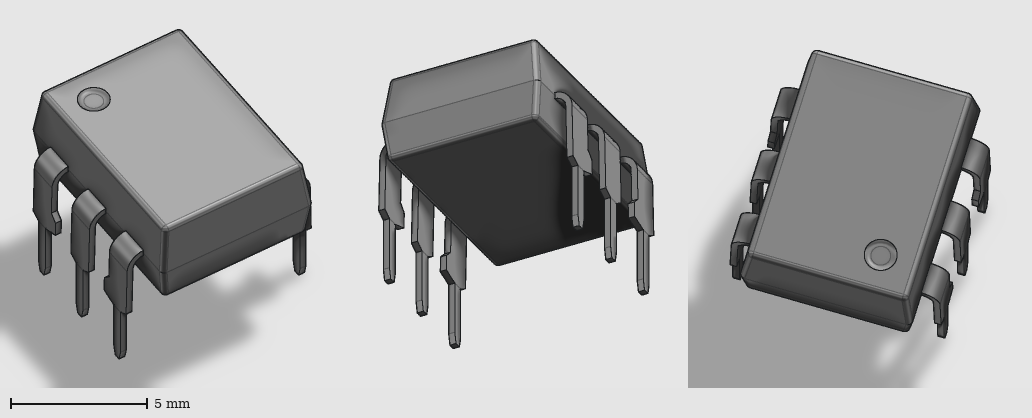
import cadquery as cq
import math

BODY_LENGTH = 8.89
BODY_WIDTH = 6.605
UPPER_HEIGHT = 2.02
LOWER_HEIGHT = 1.53
DRAFT_ANGLE = 7.0
EDGE_RADIUS = 0.205

DIMPLE_X = -2.79
DIMPLE_Y = -1.63
DIMPLE_RADIUS = 0.605
DIMPLE_FLOOR_RADIUS = 0.365
DIMPLE_DEPTH = 0.1

LEAD_PITCH = 2.54
PLATE_WIDTH = 1.2
PIN_WIDTH = 0.46
TIP_WIDTH = 0.27
TIP_LENGTH = 0.44
WING_WIDTH = 0.29
LEAD_DROP = 5.6
PIN_LENGTH = 2.56
SHOULDER_HEIGHT = 0.21
WING_HEIGHT = 0.63
WING_CHAMFER = 0.285

LEAD_SPAN = 8.12
LEAD_THICKNESS = 0.26
BEND_OUTER_RADIUS = 0.75
SPLAY_ANGLE = 1.2

TIP_Z = -LEAD_DROP
TAPER_Z = TIP_Z + TIP_LENGTH
PIN_TOP_Z = TIP_Z + PIN_LENGTH
SHOULDER_Z = PIN_TOP_Z + SHOULDER_HEIGHT
WING_TOP_Z = SHOULDER_Z + WING_HEIGHT
WING_ROOT_Z = WING_TOP_Z + WING_CHAMFER
LEAD_TOP_Z = LEAD_THICKNESS / 2


def make_body_half(height):
    """One half of the body, narrowing away from the parting plane, with rounded edges."""
    half = cq.Workplane("XY").rect(BODY_LENGTH, BODY_WIDTH).extrude(height, taper=DRAFT_ANGLE)
    return half.edges("not <Z").fillet(EDGE_RADIUS)


def make_dimple():
    """Dish-shaped cutter for the pin-one mark: a flat floor with a wall curving up from it."""
    rise_width = DIMPLE_RADIUS - DIMPLE_FLOOR_RADIUS
    floor_z = UPPER_HEIGHT - DIMPLE_DEPTH
    return (
        cq.Workplane("XZ")
        .moveTo(0, floor_z)
        .lineTo(DIMPLE_FLOOR_RADIUS, floor_z)
        .tangentArcPoint((rise_width, DIMPLE_DEPTH))
        .lineTo(0, UPPER_HEIGHT)
        .close()
        .revolve(360, (0, 0), (0, 1))
        .translate((DIMPLE_X, DIMPLE_Y, 0))
    )


def make_body():
    """Drafted body with the pin-one dimple sunk in its top face."""
    upper = make_body_half(UPPER_HEIGHT)
    lower = make_body_half(LOWER_HEIGHT).mirror("XY")
    return upper.union(lower).cut(make_dimple())


def make_bent_strip():
    """Side profile of a lead on the -Y side, extruded wider than any lead."""
    splay = math.radians(SPLAY_ANGLE)
    bend_inner_radius = BEND_OUTER_RADIUS - LEAD_THICKNESS
    bend_z = LEAD_TOP_Z - BEND_OUTER_RADIUS
    outer_y = -LEAD_SPAN / 2
    inner_y = outer_y + LEAD_THICKNESS

    bend_y = (
        outer_y
        + BEND_OUTER_RADIUS / math.cos(splay)
        + (bend_z - PIN_TOP_Z) * math.tan(splay)
    )

    def bend_point(radius, angle):
        return (bend_y - radius * math.cos(angle), bend_z + radius * math.sin(angle))

    mid_angle = (math.pi / 2 + splay) / 2
    root_y = -BODY_WIDTH / 2 + LEAD_THICKNESS
    profile = (
        cq.Workplane("YZ")
        .moveTo(root_y, LEAD_TOP_Z)
        .lineTo(*bend_point(BEND_OUTER_RADIUS, math.pi / 2))
        .threePointArc(bend_point(BEND_OUTER_RADIUS, mid_angle), bend_point(BEND_OUTER_RADIUS, splay))
        .lineTo(outer_y, PIN_TOP_Z)
        .lineTo(outer_y, TIP_Z)
        .lineTo(inner_y, TIP_Z)
        .lineTo(inner_y, PIN_TOP_Z)
        .lineTo(*bend_point(bend_inner_radius, splay))
        .threePointArc(bend_point(bend_inner_radius, mid_angle), bend_point(bend_inner_radius, math.pi / 2))
        .lineTo(root_y, LEAD_TOP_Z - LEAD_THICKNESS)
        .close()
    )
    return profile.extrude(PLATE_WIDTH, both=True)


def make_lead_outline(has_wing):
    """Front outline of a lead centred on x = 0, with an optional wing on its +X edge."""
    half_plate = PLATE_WIDTH / 2
    half_pin = PIN_WIDTH / 2
    half_tip = TIP_WIDTH / 2
    if has_wing:
        wing_edge = half_plate + WING_WIDTH
        plus_x_edge = [(half_plate, WING_ROOT_Z), (wing_edge, WING_TOP_Z), (wing_edge, SHOULDER_Z)]
    else:
        plus_x_edge = [(half_plate, SHOULDER_Z)]
    points = [
        (-half_plate, LEAD_TOP_Z),
        (half_plate, LEAD_TOP_Z),
        *plus_x_edge,
        (half_pin, PIN_TOP_Z),
        (half_pin, TAPER_Z),
        (half_tip, TIP_Z),
        (-half_tip, TIP_Z),
        (-half_pin, TAPER_Z),
        (-half_pin, PIN_TOP_Z),
        (-half_plate, SHOULDER_Z),
    ]
    return cq.Workplane("XZ").polyline(points).close().extrude(LEAD_SPAN / 2)


def make_lead(body, has_wing):
    """A lead on the -Y side at x = 0, trimmed to end flush on the body wall."""
    return make_bent_strip().intersect(make_lead_outline(has_wing)).cut(body)


body = make_body()

winged_lead = make_lead(body, has_wing=True)
front_leads = [
    winged_lead.translate((-LEAD_PITCH, 0, 0)),
    make_lead(body, has_wing=False),
    winged_lead.mirror("YZ").translate((LEAD_PITCH, 0, 0)),
]

leads = []
for front_lead in front_leads:
    leads.append(front_lead.val())
    leads.append(front_lead.mirror("XZ").val())

result = cq.Compound.makeCompound([body.val(), *leads])